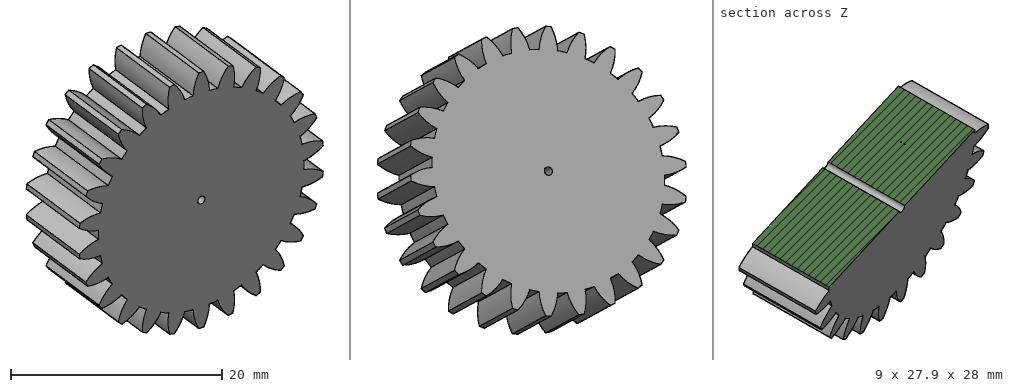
import cadquery as cq
import math

outer_diameter = 28.0
tooth_count = 26
dedendum_factor = 1.25
face_width = 9.0
bore_diameter = 0.8

root_thickness = 1.88
pitch_thickness = 1.43
tip_thickness = 0.55

module = outer_diameter / (tooth_count + 2)
outer_radius = outer_diameter / 2
pitch_radius = module * tooth_count / 2
root_radius = pitch_radius - dedendum_factor * module
tooth_angle = 2 * math.pi / tooth_count

root_half_angle = root_thickness / root_radius / 2
pitch_half_angle = pitch_thickness / pitch_radius / 2
tip_half_angle = tip_thickness / outer_radius / 2


def polar(radius, angle):
    """Point in the gear plane, with the angle measured from +Z towards +Y."""
    return (radius * math.sin(angle), radius * math.cos(angle))


def add_tooth(outline, center):
    """Continue the outline over one tooth and along the gap that follows it."""
    tip_start = polar(outer_radius, center - tip_half_angle)
    tip_end = polar(outer_radius, center + tip_half_angle)
    gap_start = polar(root_radius, center + root_half_angle)
    gap_middle = polar(root_radius, center + tooth_angle / 2)
    gap_end = polar(root_radius, center + tooth_angle - root_half_angle)
    return (
        outline.threePointArc(polar(pitch_radius, center - pitch_half_angle), tip_start)
        .threePointArc(polar(outer_radius, center), tip_end)
        .threePointArc(polar(pitch_radius, center + pitch_half_angle), gap_start)
        .threePointArc(gap_middle, gap_end)
    )


back_plane = cq.Workplane("YZ", origin=(-face_width / 2, 0, 0))

outline = back_plane.moveTo(*polar(root_radius, -root_half_angle))
for tooth in range(tooth_count):
    outline = add_tooth(outline, tooth * tooth_angle)
gear_body = outline.close().extrude(face_width)

bore = back_plane.circle(bore_diameter / 2).extrude(face_width)

result = gear_body.cut(bore)